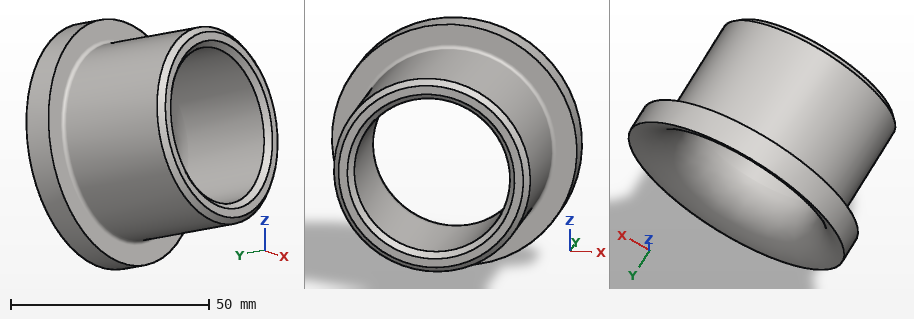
import cadquery as cq

flange_diameter = 63.0
flange_thickness = 7.0
total_length = 38.0
barrel_diameter = 50.5
bore_diameter = 40.0
end_chamfer = 1.5
bore_chamfer = 1.5
root_fillet = 1.0
flare_length = 12.66

flange_radius = flange_diameter / 2
barrel_radius = barrel_diameter / 2
bore_radius = bore_diameter / 2
barrel_length = total_length - flange_thickness
flare_start = total_length - flare_length

flare_width = flange_radius - bore_radius
flare_radius = (flare_length**2 + flare_width**2) / (2 * flare_width)


def half_section():
    """Radial section of the bushing: radius along Z, with Y running from the free end to the flange."""
    return (
        cq.Workplane("ZY")
        .moveTo(bore_radius, bore_chamfer)
        .lineTo(bore_radius + bore_chamfer, 0)
        .lineTo(barrel_radius - end_chamfer, 0)
        .lineTo(barrel_radius, end_chamfer)
        .lineTo(barrel_radius, barrel_length - root_fillet)
        .radiusArc((barrel_radius + root_fillet, barrel_length), root_fillet)
        .lineTo(flange_radius, barrel_length)
        .lineTo(flange_radius, total_length)
        .radiusArc((bore_radius, flare_start), -flare_radius)
        .close()
    )


result = half_section().revolve(360, (0, 0, 0), (0, 1, 0))